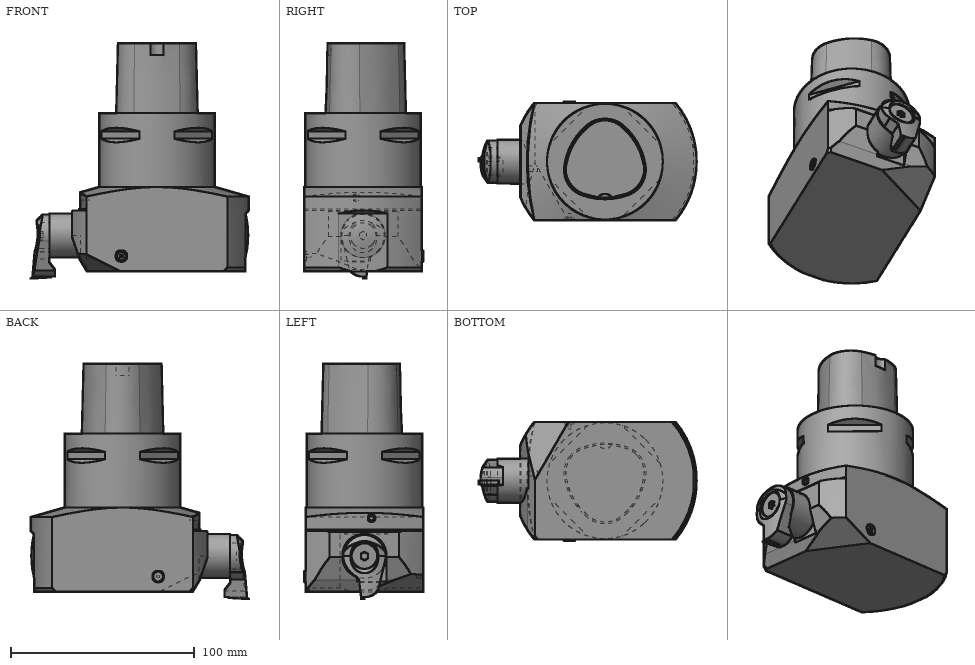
import cadquery as cq
import math


SHANK_LENGTH = 38.0
SHANK_SIDE_DISTANCE = 20.5
SHANK_SIDE_RADIUS = 35.8
SHANK_SIDE_HALF_CHORD = 12.5
SHANK_TAPER = 1 / 40
SHANK_SIDES = 3
KEY_DIAMETER = 8.5
KEY_DEPTH = 2.0
KEY_HEIGHT = 6.5

FLANGE_DIAMETER = 63.0
FLANGE_HEIGHT = 40.0
GROOVE_Z = -11.9
GROOVE_DEPTH = 3.6
GROOVE_FLOOR_WIDTH = 3.8
GROOVE_MOUTH_WIDTH = 8.0
GROOVE_COUNT = 4

BLOCK_RADIUS = 49.9
BLOCK_WIDTH = 64.0
BLOCK_BOTTOM = -86.0
SHOULDER_ANGLE = 16
BOTTOM_CHAMFER_WIDTH = 1.4
BOTTOM_CHAMFER_HEIGHT = 2.2
LEDGE_Z = -52.9
LIP_SIZE = 0.6
BAND_FRONT_X = -41.9
FRONT_X = -46.2
FRONT_TOP_CHAMFER = 0.6
FRONT_BREAK_Z = (-67.2, -79.5)
FRONT_BREAK_ANGLES = (19, 31)
CORNER_TILT = 30
CORNER_TURN = 30
CORNER_Z = -76.8
REAR_X = 48.1
REAR_TOP_Z = -52.9
REAR_RAMP = 1.8

BAND_HOLE_Y = -3.8
BAND_HOLE_Z = -46.0
BAND_HOLE_DIAMETER = 2.8
BAND_HOLE_RIM = 4.1
BAND_HOLE_DEPTH = 5.1
SIDE_PORT_X = -19.3
SIDE_PORT_Z = -77.7
SIDE_PORT_RIM = 6.3
SIDE_PORT_FLOOR = 4.7
SIDE_PORT_DEPTH = 1.3
SIDE_PORT_BORE = 1.5
SIDE_PORT_BORE_DEPTH = 3.8
SIDE_BUTTON_HEIGHT = 0.8

TOOL_Z = -66.5
NECK_DIAMETER = 24.0
NECK_END_X = -58.5
SEAT_X = -41.5
SEAT_LEFT_Y = 4.1
SEAT_BOTTOM_Z = -81.9
REAR_DOME_HEIGHT = 1.5
HEAD_DIAMETER = 23.0
HEAD_CONE_START_X = -62.1
HEAD_CONE_DROP = 2.3
FACE_X = -65.8
FACE_RADIUS = 31.2
ARM_LEAN = 5
ARM_SIDE_ANGLE = 14.2
ARM_CORNER = (-7.3, -85.5)
ARM_END_MIDDLE = (-3.7, -88.2)
ARM_NECK_LOW = (3.0, -79.4)
ARM_NECK_HIGH = (7.7, -75.4)
ARM_BACK_Z = -81.0
HEEL_X = -55.3
HEEL_Z = -85.1
ARM_BOTTOM_Z = -88.8
TIP_X = -68.6
TIP_Y = 1.9
TIP_Z = -90.0
TIP_WIDTH = 1.9
TIP_TOP_Z = -88.3
TIP_ROOT_X = -66.8
TIP_BACK_X = -57.6
TIP_BACK_Z = -89.3
SCREW_DIAMETER = 14.0
SCREW_FACE_X = -63.7
COUNTERSINK_X = -64.3
SCREW_HEX = 4.0
SCREW_HEX_DEPTH = 1.9

FLANGE_RADIUS = FLANGE_DIAMETER / 2
HALF_WIDTH = BLOCK_WIDTH / 2
CORNER_X = -math.sqrt(BLOCK_RADIUS**2 - HALF_WIDTH**2)
FAR = 76.8


def tan(degrees):
    return math.tan(math.radians(degrees))


def box(x_range, y_range, z_range):
    size = [b - a for a, b in (x_range, y_range, z_range)]
    return cq.Workplane("XY").box(*size, centered=False).translate((x_range[0], y_range[0], z_range[0]))


def rod_x(diameter, x_start, x_end, y, z):
    """Round bar along X."""
    return cq.Workplane("YZ", origin=(x_start, y, z)).circle(diameter / 2).extrude(x_end - x_start)


def polar(radius, degrees):
    return radius * math.cos(math.radians(degrees)), radius * math.sin(math.radians(degrees))


def shank_outline():
    """Rounded triangle of six tangent arcs: one side toward -Y, one lobe toward +Y."""
    half_angle = 180 / SHANK_SIDES
    side_arc = math.degrees(math.asin(SHANK_SIDE_HALF_CHORD / SHANK_SIDE_RADIUS))
    joint_depth = SHANK_SIDE_DISTANCE - SHANK_SIDE_RADIUS * (1 - math.cos(math.radians(side_arc)))
    joint_distance = math.hypot(SHANK_SIDE_HALF_CHORD, joint_depth)
    joint_angle = math.degrees(math.atan2(SHANK_SIDE_HALF_CHORD, joint_depth))

    lobe_chord_distance, lobe_half_chord = polar(joint_distance, half_angle - joint_angle)
    lobe_tip = lobe_chord_distance + lobe_half_chord * tan((half_angle - side_arc) / 2)

    outline = cq.Workplane("XY").moveTo(*polar(joint_distance, -90 - joint_angle))
    for i in range(SHANK_SIDES):
        side = -90 + 2 * half_angle * i
        lobe = side + half_angle
        next_side = lobe + half_angle
        outline = outline.threePointArc(
            polar(SHANK_SIDE_DISTANCE, side), polar(joint_distance, side + joint_angle))
        outline = outline.threePointArc(
            polar(lobe_tip, lobe), polar(joint_distance, next_side - joint_angle))
    return outline.close()


def make_shank():
    taper_angle = math.degrees(math.atan(SHANK_TAPER))
    shank = shank_outline().extrude(SHANK_LENGTH, taper=taper_angle)
    top_side_distance = SHANK_SIDE_DISTANCE - SHANK_TAPER * SHANK_LENGTH
    key_y = -top_side_distance + KEY_DEPTH - KEY_DIAMETER / 2
    key = (
        cq.Workplane("XY", origin=(0, key_y, SHANK_LENGTH - KEY_HEIGHT))
        .circle(KEY_DIAMETER / 2).extrude(KEY_HEIGHT)
    )
    return shank.cut(key)


def gripper_groove():
    """Straight V-flanked groove across the +X side of the flange."""
    floor_x = FLANGE_RADIUS - GROOVE_DEPTH
    half_floor = GROOVE_FLOOR_WIDTH / 2
    outer_x = FLANGE_RADIUS + GROOVE_DEPTH
    rise = GROOVE_MOUTH_WIDTH - GROOVE_FLOOR_WIDTH
    return (
        cq.Workplane("XZ", origin=(0, HALF_WIDTH, 0))
        .polyline([
            (floor_x, GROOVE_Z - half_floor),
            (outer_x, GROOVE_Z - half_floor - rise),
            (outer_x, GROOVE_Z + half_floor + rise),
            (floor_x, GROOVE_Z + half_floor),
        ])
        .close().extrude(BLOCK_WIDTH)
    )


def make_flange_and_block():
    """Turned flange, conical shoulder and block, flattened on both Y sides."""
    shoulder_edge_z = -FLANGE_HEIGHT - (BLOCK_RADIUS - FLANGE_RADIUS) * tan(SHOULDER_ANGLE)
    turned = (
        cq.Workplane("XZ")
        .polyline([
            (0, 0),
            (FLANGE_RADIUS, 0),
            (FLANGE_RADIUS, -FLANGE_HEIGHT),
            (BLOCK_RADIUS, shoulder_edge_z),
            (BLOCK_RADIUS, BLOCK_BOTTOM + BOTTOM_CHAMFER_HEIGHT),
            (BLOCK_RADIUS - BOTTOM_CHAMFER_WIDTH, BLOCK_BOTTOM),
            (0, BLOCK_BOTTOM),
        ])
        .close().revolve(360, (0, 0, 0), (0, 1, 0))
    )
    body = turned.intersect(box((-FAR, FAR), (-HALF_WIDTH, HALF_WIDTH), (BLOCK_BOTTOM, 0)))
    for i in range(GROOVE_COUNT):
        body = body.cut(gripper_groove().rotate((0, 0, 0), (0, 0, 1), 45 + i * 360 / GROOVE_COUNT))
    return body


def band_cut(crown_x, z_bottom):
    """Volume in front of the shallow curved band."""
    return (
        cq.Workplane("XY", origin=(0, 0, z_bottom))
        .moveTo(CORNER_X, -HALF_WIDTH)
        .threePointArc((crown_x, 0), (CORNER_X, HALF_WIDTH))
        .lineTo(-FAR, HALF_WIDTH).lineTo(-FAR, -HALF_WIDTH)
        .close().extrude(-FLANGE_HEIGHT - z_bottom)
    )


def shape_front(body):
    body = body.cut(band_cut(BAND_FRONT_X - LIP_SIZE, LEDGE_Z))
    body = body.cut(band_cut(BAND_FRONT_X, LEDGE_Z + LIP_SIZE))
    upper_break, lower_break = FRONT_BREAK_Z
    middle_x = FRONT_X + (upper_break - lower_break) * tan(FRONT_BREAK_ANGLES[0])
    bottom_x = middle_x + (lower_break - BLOCK_BOTTOM) * tan(FRONT_BREAK_ANGLES[1])
    facets = (
        cq.Workplane("XZ", origin=(0, FAR, 0))
        .polyline([
            (FRONT_X + FRONT_TOP_CHAMFER, LEDGE_Z),
            (FRONT_X, LEDGE_Z - FRONT_TOP_CHAMFER),
            (FRONT_X, upper_break),
            (middle_x, lower_break),
            (bottom_x, BLOCK_BOTTOM),
            (-FAR, BLOCK_BOTTOM),
            (-FAR, LEDGE_Z),
        ])
        .close().extrude(2 * FAR)
    )
    return body.cut(facets)


def cut_corner_facet(body):
    """Slanted facet under the front corner on the -Y side."""
    block = (
        box((-FAR, FAR), (-FAR, FAR), (-FAR, 0))
        .rotate((0, 0, 0), (0, 1, 0), CORNER_TILT)
        .rotate((0, 0, 0), (0, 0, 1), CORNER_TURN)
        .translate((CORNER_X, -HALF_WIDTH, CORNER_Z))
    )
    return body.cut(block)


def shape_rear(body):
    """Flat rear face below a ramp, with a shallow dome on the tool axis."""
    relief = (
        cq.Workplane("XZ", origin=(0, FAR, 0))
        .polyline([
            (REAR_X, REAR_TOP_Z - REAR_RAMP),
            (REAR_X + REAR_RAMP, REAR_TOP_Z),
            (FAR, REAR_TOP_Z),
            (FAR, BLOCK_BOTTOM),
            (REAR_X, BLOCK_BOTTOM),
        ])
        .close().extrude(2 * FAR)
    )
    dome_edge = NECK_DIAMETER / 2
    crown_x = REAR_X + REAR_DOME_HEIGHT
    dome_radius = (dome_edge**2 + REAR_DOME_HEIGHT**2) / (2 * REAR_DOME_HEIGHT)
    dome = (
        cq.Workplane("XZ", origin=(0, 0, TOOL_Z))
        .moveTo(0, 0)
        .lineTo(0, dome_edge)
        .lineTo(REAR_X, dome_edge)
        .radiusArc((crown_x, 0), dome_radius)
        .close().revolve(360, (0, 0, 0), (1, 0, 0))
    )
    return body.cut(relief).union(dome)


def add_small_details(body):
    rim_depth = (BAND_HOLE_RIM - BAND_HOLE_DIAMETER) / 2
    body = body.cut(rod_x(BAND_HOLE_DIAMETER, -FAR, BAND_FRONT_X + BAND_HOLE_DEPTH, BAND_HOLE_Y, BAND_HOLE_Z))
    body = body.cut(rod_x(BAND_HOLE_RIM, -FAR, BAND_FRONT_X + rim_depth, BAND_HOLE_Y, BAND_HOLE_Z))
    port = (
        cq.Workplane("XZ", origin=(SIDE_PORT_X, -HALF_WIDTH, SIDE_PORT_Z))
        .circle(SIDE_PORT_RIM / 2)
        .workplane(offset=-SIDE_PORT_DEPTH).circle(SIDE_PORT_FLOOR / 2).loft()
    )
    bore = (
        cq.Workplane("XZ", origin=(SIDE_PORT_X, -HALF_WIDTH, SIDE_PORT_Z))
        .circle(SIDE_PORT_BORE / 2).extrude(-SIDE_PORT_BORE_DEPTH)
    )
    button = (
        cq.Workplane("XZ", origin=(SIDE_PORT_X, HALF_WIDTH, SIDE_PORT_Z))
        .circle(SIDE_PORT_RIM / 2).extrude(-SIDE_BUTTON_HEIGHT)
        .faces(">Y").chamfer(SIDE_BUTTON_HEIGHT / 2)
    )
    return body.cut(port).cut(bore).union(button)


def make_housing():
    body = make_flange_and_block()
    body = shape_front(body)
    body = cut_corner_facet(body)
    body = shape_rear(body)
    body = add_small_details(body)
    half_neck = NECK_DIAMETER / 2
    body = body.cut(box((-FAR, SEAT_X), (-half_neck, SEAT_LEFT_Y), (SEAT_BOTTOM_Z, TOOL_Z)))
    neck = rod_x(NECK_DIAMETER, NECK_END_X, FRONT_X + half_neck, 0, TOOL_Z)
    return body.union(neck).union(make_shank())


def make_face_limit():
    """Volume behind the rounded insert face: upright above the tool axis, leaning below it."""
    upright = (
        cq.Workplane("XY", origin=(FACE_X + FACE_RADIUS, 0, TOOL_Z - FAR))
        .circle(FACE_RADIUS).extrude(2 * FAR)
    )
    leaning = upright.rotate((FACE_X, 0, TOOL_Z), (FACE_X, 1, TOOL_Z), ARM_LEAN)
    upper = box((-FAR, 0), (-FAR, FAR), (TOOL_Z, 0))
    lower = box((-FAR, 0), (-FAR, FAR), (TOOL_Z - FAR, TOOL_Z))
    return upright.intersect(upper).union(leaning.intersect(lower))


def make_insert_head():
    """Round head topped by a 45-degree cone whose axis sits low."""
    cone_radius = HEAD_DIAMETER / 2 + HEAD_CONE_DROP
    cone = (
        cq.Workplane("XZ", origin=(0, 0, TOOL_Z - HEAD_CONE_DROP))
        .polyline([
            (NECK_END_X, 0),
            (NECK_END_X, cone_radius),
            (HEAD_CONE_START_X, cone_radius),
            (HEAD_CONE_START_X - cone_radius, 0),
        ])
        .close().revolve(360, (0, 0, 0), (1, 0, 0))
    )
    head = rod_x(HEAD_DIAMETER, -FAR, NECK_END_X, 0, TOOL_Z)
    return head.intersect(cone)


def make_insert_arm():
    """Hanging arm: an end-on outline limited by its side profile."""
    tangent_y, tangent_rise = polar(HEAD_DIAMETER / 2, 180 + ARM_SIDE_ANGLE)
    outline = (
        cq.Workplane("YZ", origin=(-FAR, 0, 0))
        .moveTo(tangent_y, TOOL_Z + tangent_rise)
        .lineTo(*ARM_CORNER)
        .threePointArc(ARM_END_MIDDLE, (TIP_Y, ARM_BOTTOM_Z))
        .lineTo(*ARM_NECK_LOW)
        .lineTo(*ARM_NECK_HIGH)
        .lineTo(0, TOOL_Z)
        .close().extrude(FAR)
    )
    side = (
        cq.Workplane("XZ", origin=(0, FAR, 0))
        .polyline([
            (-FAR, TOOL_Z),
            (NECK_END_X, TOOL_Z),
            (NECK_END_X, ARM_BACK_Z),
            (HEEL_X, HEEL_Z),
            (HEEL_X, ARM_BOTTOM_Z),
            (-FAR, ARM_BOTTOM_Z),
        ])
        .close().extrude(2 * FAR)
    )
    return outline.intersect(side)


def make_insert():
    tip = (
        cq.Workplane("XZ", origin=(0, TIP_Y, 0))
        .polyline([
            (TIP_ROOT_X, TIP_TOP_Z),
            (TIP_X, TIP_Z),
            (TIP_BACK_X, TIP_BACK_Z),
            (TIP_BACK_X, TIP_TOP_Z),
        ])
        .close().extrude(TIP_WIDTH)
    )
    body = make_insert_head().union(make_insert_arm()).intersect(make_face_limit())
    insert = body.union(tip)
    screw_radius = SCREW_DIAMETER / 2
    countersink_depth = COUNTERSINK_X + FAR
    screw_seat = (
        cq.Workplane("XZ", origin=(0, 0, TOOL_Z))
        .polyline([
            (NECK_END_X, 0),
            (NECK_END_X, screw_radius),
            (COUNTERSINK_X, screw_radius),
            (-FAR, screw_radius + countersink_depth),
            (-FAR, 0),
        ])
        .close().revolve(360, (0, 0, 0), (1, 0, 0))
    )
    return insert.cut(screw_seat)


def make_screw():
    screw = rod_x(SCREW_DIAMETER, SCREW_FACE_X, NECK_END_X, 0, TOOL_Z)
    socket = (
        cq.Workplane("YZ", origin=(SCREW_FACE_X, 0, TOOL_Z))
        .polygon(6, SCREW_HEX, circumscribed=True).extrude(SCREW_HEX_DEPTH)
    )
    return screw.cut(socket)


housing = make_housing()
insert = make_insert()
screw = make_screw()

result = cq.Compound.makeCompound([housing.val(), insert.val(), screw.val()])